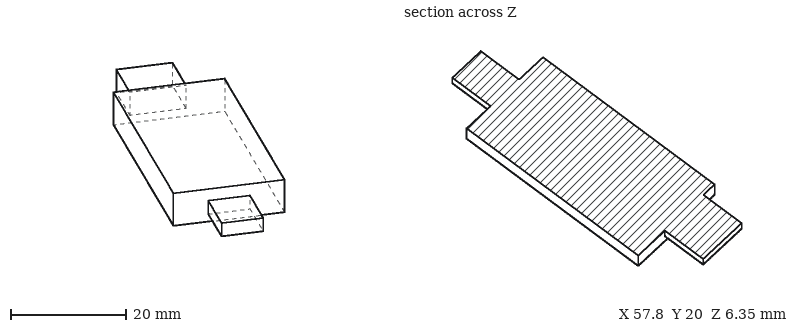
import cadquery as cq

total_length = 57.8
body_length = 40.0
body_width = 20.0
body_height = 6.35

tab_length = (total_length - body_length) / 2
tab_bottom = 1.5

wide_tab_width = 10.1
wide_tab_height = 4.5
wide_tab_center_y = -2.0

thin_tab_width = 7.5
thin_tab_height = 2.6


def end_tab(side, width, height, center_y):
    """Block standing out of the -X (side = -1) or +X (side = 1) end face."""
    center_x = side * (body_length + tab_length) / 2
    return (
        cq.Workplane("XY", origin=(center_x, center_y, tab_bottom))
        .box(tab_length, width, height, centered=(True, True, False))
    )


body = cq.Workplane("XY").box(body_length, body_width, body_height, centered=(True, True, False))
wide_tab = end_tab(-1, wide_tab_width, wide_tab_height, wide_tab_center_y)
thin_tab = end_tab(1, thin_tab_width, thin_tab_height, 0)

result = body.union(wide_tab).union(thin_tab)